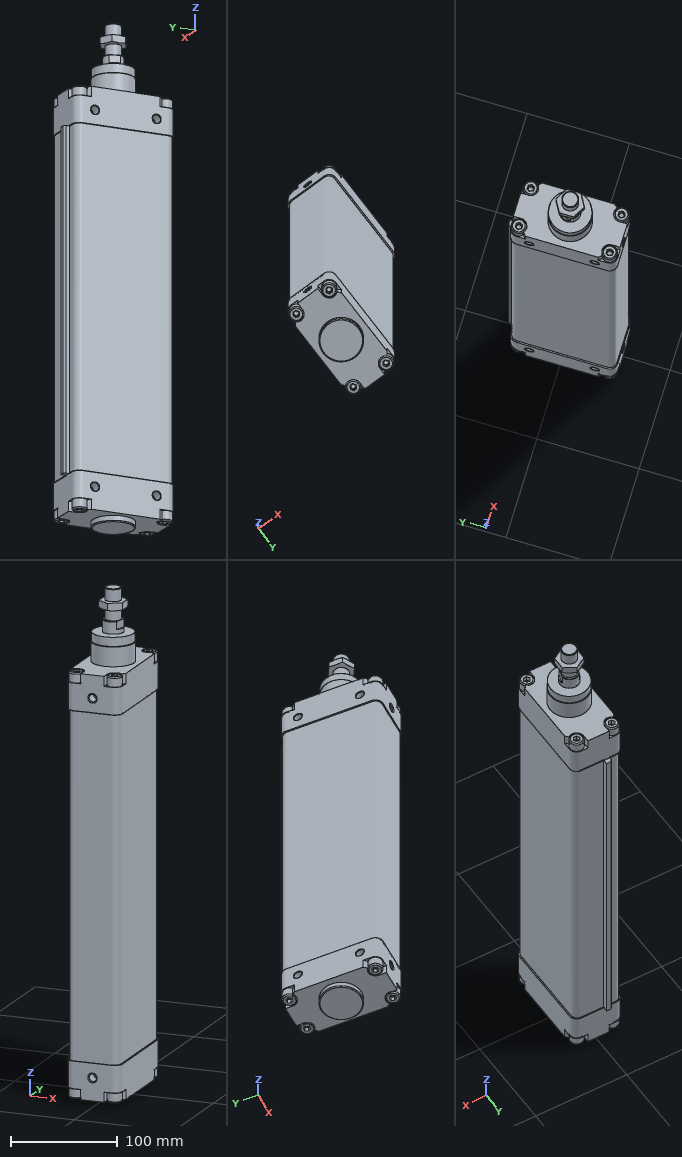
import cadquery as cq
import math

total_height = 493.0
cap_width = 54.0
cap_depth = 104.5
cap_corner_radius = 8.0
tube_width = 51.5
tube_depth = 102.5
tube_corner_radius = 7.0

base_boss_height = 6.0
cap_height = 37.0
front_cap_top = 421.0
front_cap_bottom = front_cap_top - cap_height
rear_cap_top = base_boss_height + cap_height

collar_diameter = 42.0
collar_step_diameter = 41.0
collar_step_z = 440.5
collar_top = 449.5
collar_chamfer = (collar_diameter - collar_step_diameter) / 2
boss_chamfer = 1.0

screw_inset = 8.0
screw_head_diameter = 14.5
screw_head_edge_diameter = 12.0
screw_socket_across_flats = 6.0
screw_socket_drill_diameter = 5.0
screw_socket_depth = 5.0
pocket_diameter = 15.0
pocket_mouth = 17.0
pocket_depth = 10.0

front_port_diameter = 7.5
side_hole_diameter = 8.5
hole_rim_diameter = 9.5
hole_depth = 12.5
hole_from_cap_end = 22.5
side_hole_offset = 32.0

drill_point_angle = 118.0

rail_left = -12.5
rail_width = 6.5
rail_height = 5.0
rail_chamfer = 2.0

rod_diameter = 20.0
rod_top_chamfer = 0.5
thread_diameter = 16.0
thread_start_z = 462.0
thread_tip_chamfer = 0.75
flats_across = 17.0
flats_bottom_z = 454.0
flats_turn = -16.0

nut_across_flats = 24.0
nut_end_face_diameter = 23.0
nut_height = 8.0
nut_bottom_z = 473.0
nut_chamfer_angle = 15.0


def upright_block(width, depth, bottom, top, corner_radius):
    """Block centred on the cylinder axis with rounded upright edges."""
    block = cq.Workplane("XY", origin=(0, 0, bottom)).rect(width, depth).extrude(top - bottom)
    return block.edges("|Z").fillet(corner_radius)


def cylinder(diameter, bottom, top):
    return cq.Workplane("XY", origin=(0, 0, bottom)).circle(diameter / 2).extrude(top - bottom)


def drill_point(diameter, z):
    """Cone pointing down from its base at height z, as a drill leaves at the end of a hole."""
    radius = diameter / 2
    length = radius / math.tan(math.radians(drill_point_angle / 2))
    return cq.Workplane("XY").add(
        cq.Solid.makeCone(radius, 0, length, pnt=cq.Vector(0, 0, z), dir=cq.Vector(0, 0, -1))
    )


def make_corner_pocket():
    """Open pocket for the screw of the -X, -Y corner, with its floor at z = 0."""
    half_x = cap_width / 2
    half_y = cap_depth / 2
    axis_x = screw_inset - half_x
    axis_y = screw_inset - half_y
    radius = pocket_diameter / 2
    round_part = cq.Workplane("XY").center(axis_x, axis_y).circle(radius).extrude(pocket_depth)
    mouth = (
        cq.Workplane("XY")
        .moveTo(-half_x, -half_y)
        .lineTo(axis_x + radius, -half_y)
        .lineTo(axis_x + radius, axis_y)
        .lineTo(axis_x, axis_y)
        .lineTo(-half_x, pocket_mouth - half_y)
        .close()
        .extrude(pocket_depth)
    )
    return round_part.union(mouth)


def make_corner_screw():
    """Socket screw head standing on z = 0 in the -X, -Y corner."""
    head_chamfer = (screw_head_diameter - screw_head_edge_diameter) / 2
    socket_corners = screw_socket_across_flats / math.cos(math.radians(30))
    socket_floor = pocket_depth - screw_socket_depth
    head = cylinder(screw_head_diameter, 0, pocket_depth).faces(">Z").chamfer(head_chamfer)
    socket = cq.Workplane("XY", origin=(0, 0, socket_floor)).polygon(6, socket_corners)
    head = head.cut(socket.extrude(screw_socket_depth))
    head = head.cut(drill_point(screw_socket_drill_diameter, socket_floor))
    return head.translate((screw_inset - cap_width / 2, screw_inset - cap_depth / 2, 0))


def at_four_corners(corner_shape):
    """The -X, -Y corner shape and its mirror images in the other corners."""
    pair = corner_shape.union(corner_shape.mirror("YZ"))
    return pair.union(pair.mirror("XZ"))


def make_countersunk_hole(diameter):
    """Flat-bottomed hole along -Z from z = 0 with a 45 degree rim."""
    rim_depth = (hole_rim_diameter - diameter) / 2
    bore = cylinder(diameter, -hole_depth, 0)
    rim_bottom = cq.Vector(0, 0, -rim_depth)
    rim = cq.Solid.makeCone(diameter / 2, hole_rim_diameter / 2, rim_depth, pnt=rim_bottom)
    return bore.union(cq.Workplane("XY").add(rim))


def make_cap():
    """End cap from z = 0 to its outer end face at z = cap_height."""
    cap = upright_block(cap_width, cap_depth, 0, cap_height, cap_corner_radius)
    pocket_floor = (0, 0, cap_height - pocket_depth)
    cap = cap.cut(at_four_corners(make_corner_pocket()).translate(pocket_floor))
    cap = cap.union(at_four_corners(make_corner_screw()).translate(pocket_floor))

    hole_z = cap_height - hole_from_cap_end
    front_port = make_countersunk_hole(front_port_diameter).rotate((0, 0, 0), (1, 0, 0), 90)
    cap = cap.cut(front_port.translate((0, -cap_depth / 2, hole_z)))
    side_hole = make_countersunk_hole(side_hole_diameter)
    side_hole = side_hole.union(drill_point(side_hole_diameter, -hole_depth))
    side_hole = side_hole.rotate((0, 0, 0), (0, 1, 0), -90)
    for y in (-side_hole_offset, side_hole_offset):
        cap = cap.cut(side_hole.translate((-cap_width / 2, y, hole_z)))
    return cap


def make_rail():
    """Sensor rail along the tube, with its outer -X edge chamfered."""
    outer_y = cap_depth / 2 + rail_height
    rail = (
        cq.Workplane("XY", origin=(0, 0, rear_cap_top))
        .moveTo(rail_left, 0)
        .lineTo(rail_left, outer_y - rail_chamfer)
        .lineTo(rail_left + rail_chamfer, outer_y)
        .lineTo(rail_left + rail_width, outer_y)
        .lineTo(rail_left + rail_width, 0)
        .close()
        .extrude(front_cap_bottom - rear_cap_top)
    )
    return rail


def make_housing():
    tube = upright_block(tube_width, tube_depth, rear_cap_top, front_cap_bottom, tube_corner_radius)
    cap = make_cap()
    rear_cap = cap.mirror("XY").translate((0, 0, rear_cap_top))
    front_cap = cap.translate((0, 0, front_cap_bottom))
    boss = cylinder(collar_diameter, 0, base_boss_height).faces("<Z").chamfer(boss_chamfer)
    collar = cylinder(collar_diameter, front_cap_top, collar_step_z).faces(">Z").chamfer(collar_chamfer)
    collar_step = cylinder(collar_step_diameter, collar_step_z, collar_top)
    housing = tube.union(make_rail()).union(rear_cap).union(front_cap)
    return housing.union(boss).union(collar).union(collar_step)


def make_rod():
    """Piston rod standing on the collar, with wrench flats and a threaded end."""
    shank = cylinder(rod_diameter, collar_top, thread_start_z).faces(">Z").chamfer(rod_top_chamfer)
    flats = (
        cq.Workplane("XY", origin=(0, 0, flats_bottom_z))
        .rect(flats_across, 2 * rod_diameter)
        .extrude(thread_start_z - flats_bottom_z)
        .rotate((0, 0, 0), (0, 0, 1), flats_turn)
    )
    below_flats = cylinder(rod_diameter, collar_top, flats_bottom_z)
    shank = shank.intersect(flats.union(below_flats))
    thread = cylinder(thread_diameter, thread_start_z, total_height)
    thread = thread.faces(">Z").chamfer(thread_tip_chamfer)
    return shank.union(thread)


def make_nut():
    """Hexagon nut with flats on +X and -X and both ends chamfered."""
    across_corners = nut_across_flats / math.cos(math.radians(30))
    chamfer_width = (across_corners - nut_end_face_diameter) / 2
    chamfer_height = chamfer_width * math.tan(math.radians(nut_chamfer_angle))
    hexagon = (
        cq.Workplane("XY", origin=(0, 0, nut_bottom_z))
        .polygon(6, across_corners)
        .extrude(nut_height)
        .rotate((0, 0, 0), (0, 0, 1), 30)
    )
    nut_top_z = nut_bottom_z + nut_height
    turned_blank = (
        cq.Workplane("XZ")
        .moveTo(0, nut_bottom_z)
        .lineTo(nut_end_face_diameter / 2, nut_bottom_z)
        .lineTo(across_corners / 2, nut_bottom_z + chamfer_height)
        .lineTo(across_corners / 2, nut_top_z - chamfer_height)
        .lineTo(nut_end_face_diameter / 2, nut_top_z)
        .lineTo(0, nut_top_z)
        .close()
        .revolve(360, (0, 0, 0), (0, 1, 0))
    )
    bore = cylinder(thread_diameter, nut_bottom_z, nut_top_z)
    return hexagon.intersect(turned_blank).cut(bore)


housing = make_housing()
rod = make_rod()
nut = make_nut()

result = cq.Compound.makeCompound([housing.solids().val(), rod.solids().val(), nut.solids().val()])